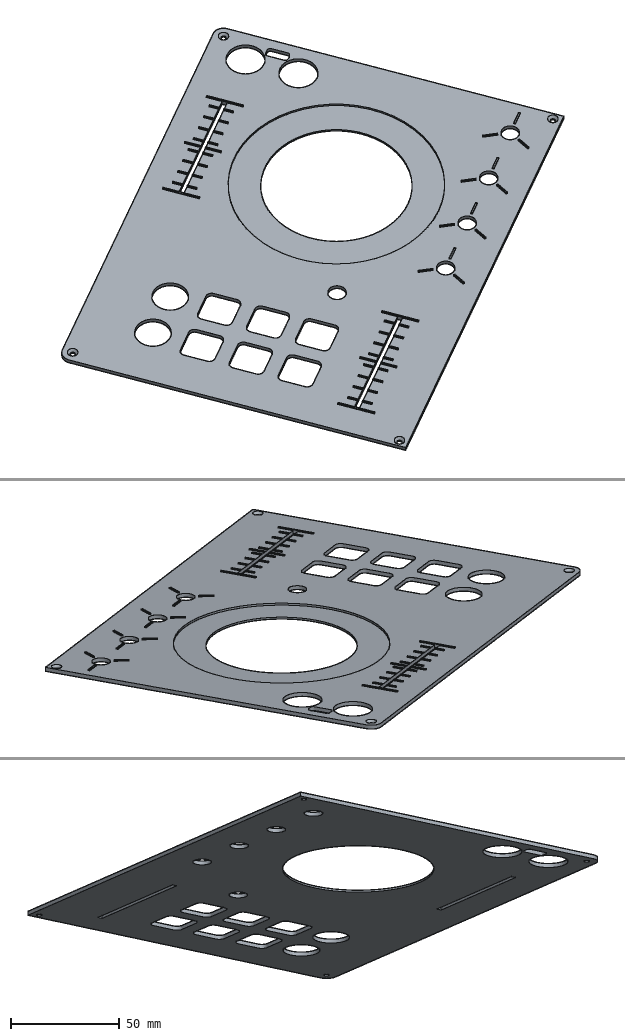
import cadquery as cq

width = 170.0
length = 220
total_height = 2.5
mark_height = 0.5
plate_thickness = total_height - mark_height
left_corner_radius = 5.0

screw_diameter = 2.5
screw_head_diameter = 4.8
screw_head_angle = 90
left_screw_inset = left_corner_radius
right_screw_inset_x = 4.2
right_screw_inset_y = 3.3

dial_centre = (0, 35.0)
dial_diameter = 70.0
dial_rim_diameter = 100.0
dial_rim_depth = plate_thickness / 2

jack_diameter = 18.0
jack_spacing = 26.0
jack_pair_centre = (-52.5, 94.5)
window_width = 11
window_height = 4.8
window_corner_radius = 1.5
window_rise = 8.0

button_size = 17.0
button_corner_radius = 2.9
button_pitch = 24.0
button_rows = 2
square_columns = 3
first_button = (-49.0, -57.0)

small_hole_diameter = 8.5
knob_count = 4
knob_pitch = 30.0
top_knob = (65.1, 92.0)
knob_mark_start = 6.0
knob_mark_end = 13.0
knob_mark_angles = (90, 210, 330)

encoder_centre = (first_button[0] + square_columns * button_pitch, -29.0)

slider_centres = ((-65.8, 36.0), (55.5, -64.0))
slot_width = 2.5
slot_length = 60.0
mark_width = 0.9
long_mark_length = 18.0
short_mark_length = 11.9
short_mark_pitch = 7.3
short_mark_count = 8


def cylinder(centre, diameter, bottom=0):
    """Upright cylinder reaching from `bottom` to the top of the marks."""
    height = total_height - bottom
    return cq.Workplane(origin=(*centre, bottom)).circle(diameter / 2).extrude(height)


def block(centre, size_x, size_y, corner_radius=0):
    """Upright block of the full part height, with rounded corners if asked for."""
    body = cq.Workplane(origin=(*centre, 0)).rect(size_x, size_y).extrude(total_height)
    if corner_radius:
        body = body.edges("|Z").fillet(corner_radius)
    return body


def raised_bar(centre, bar_length):
    """Bar along X that stands proud of the plate and runs down through it to fuse cleanly."""
    return block(centre, bar_length, mark_width)


def make_plate():
    plate = cq.Workplane().rect(width, length).extrude(plate_thickness)
    return plate.edges("|Z and <X").fillet(left_corner_radius)


def cut_screw_holes(plate):
    left_x = -width / 2 + left_screw_inset
    left_y = length / 2 - left_screw_inset
    right_x = width / 2 - right_screw_inset_x
    right_y = length / 2 - right_screw_inset_y
    points = [(left_x, left_y), (left_x, -left_y), (right_x, right_y), (right_x, -right_y)]
    holes = plate.faces(">Z").workplane(origin=(0, 0, plate_thickness)).pushPoints(points)
    return holes.cskHole(screw_diameter, screw_head_diameter, screw_head_angle)


def cut_dial(plate):
    plate = plate.cut(cylinder(dial_centre, dial_diameter))
    return plate.cut(cylinder(dial_centre, dial_rim_diameter, plate_thickness - dial_rim_depth))


def cut_jacks(plate):
    centre_x, centre_y = jack_pair_centre
    for side in (-1, 1):
        plate = plate.cut(cylinder((centre_x + side * jack_spacing / 2, centre_y), jack_diameter))
    window_centre = (centre_x, centre_y + window_rise)
    return plate.cut(block(window_centre, window_width, window_height, window_corner_radius))


def cut_buttons(plate):
    first_x, first_y = first_button
    for row in range(button_rows):
        y = first_y - row * button_pitch
        plate = plate.cut(cylinder((first_x, y), button_size))
        for column in range(1, square_columns + 1):
            x = first_x + column * button_pitch
            plate = plate.cut(block((x, y), button_size, button_size, button_corner_radius))
    return plate


def add_knob(plate, centre):
    mark_middle = (knob_mark_start + knob_mark_end) / 2
    for angle in knob_mark_angles:
        mark = raised_bar((mark_middle, 0), knob_mark_end - knob_mark_start)
        plate = plate.union(mark.rotate((0, 0, 0), (0, 0, 1), angle).translate((*centre, 0)))
    return plate.cut(cylinder(centre, small_hole_diameter))


def add_slider(plate, centre):
    x, y = centre
    for step in range(short_mark_count):
        offset = (step - (short_mark_count - 1) / 2) * short_mark_pitch
        plate = plate.union(raised_bar((x, y + offset), short_mark_length))
    plate = plate.union(raised_bar(centre, long_mark_length))
    plate = plate.cut(block(centre, slot_width, slot_length))
    for side in (-1, 1):
        end_y = y + side * (slot_length + mark_width) / 2
        plate = plate.union(raised_bar((x, end_y), long_mark_length))
    return plate


result = cut_screw_holes(make_plate())
result = cut_dial(result)
result = cut_jacks(result)
result = cut_buttons(result)
result = result.cut(cylinder(encoder_centre, small_hole_diameter))
for knob in range(knob_count):
    result = add_knob(result, (top_knob[0], top_knob[1] - knob * knob_pitch))
for slider_centre in slider_centres:
    result = add_slider(result, slider_centre)